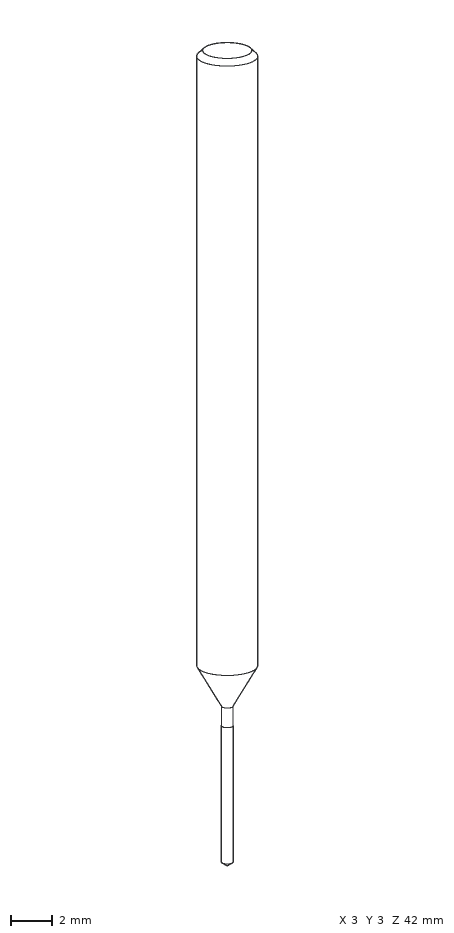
import cadquery as cq
import math

total_length = 42.0
shank_radius = 3.0 / 2
top_chamfer = 0.3
taper_half_angle = math.radians(30)
neck_radius = 0.28
neck_top_z = 8.25

cutting_radius = 0.3
cutting_top_z = 7.22
tip_height = 0.2

taper_height = (shank_radius - neck_radius) / math.tan(taper_half_angle)
taper_top_z = neck_top_z + taper_height


def revolve_profile(points):
    """Turn a closed (radius, height) outline about the Z axis, starting on the -Y side."""
    outline = cq.Workplane("YZ").polyline([(-radius, z) for radius, z in points]).close()
    return outline.revolve(360, (0, 0), (0, 1))


def make_shank():
    """Chamfered bar, its conical lower end and the neck."""
    return revolve_profile([
        (0, cutting_top_z),
        (neck_radius, cutting_top_z),
        (neck_radius, neck_top_z),
        (shank_radius, taper_top_z),
        (shank_radius, total_length - top_chamfer),
        (shank_radius - top_chamfer, total_length),
        (0, total_length),
    ])


def make_cutting_part():
    """Cylinder with a conical tip, meeting the lower end of the neck."""
    return revolve_profile([
        (0, 0),
        (cutting_radius, tip_height),
        (cutting_radius, cutting_top_z),
        (0, cutting_top_z),
    ])


shank = make_shank()
cutting_part = make_cutting_part()

result = cq.Compound.makeCompound([shank.val(), cutting_part.val()])